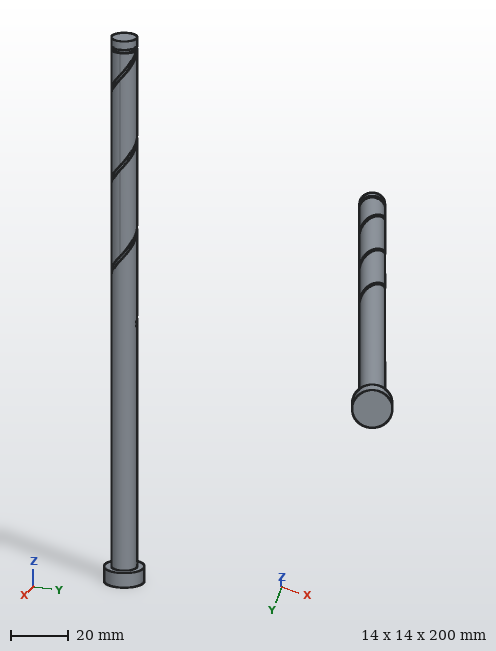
import cadquery as cq

total_length = 200.0
head_diameter = 14.0
head_height = 5.5
shaft_diameter = 9.0
shaft_radius = shaft_diameter / 2

ring_groove_diameter = 7.5
ring_groove_width = 1.2
end_collar_length = 3.2
ring_groove_bottom = total_length - end_collar_length - ring_groove_width

spiral_turns = 3
spiral_length = 100.0
spiral_bottom = 95.0
spiral_groove_radius = 0.8


def pin_blank():
    """Round shaft standing on a wider head."""
    head = cq.Workplane("XY").circle(head_diameter / 2).extrude(head_height)
    shaft = cq.Workplane("XY").circle(shaft_radius).extrude(total_length)
    return head.union(shaft)


def ring_groove_cutter():
    """Ring that cuts the square retaining groove."""
    return (
        cq.Workplane("XY", origin=(0, 0, ring_groove_bottom))
        .circle(head_diameter / 2)
        .circle(ring_groove_diameter / 2)
        .extrude(ring_groove_width)
    )


def spiral_groove_cutter():
    """Round bar wound along the shaft surface, half sunk into it."""
    pitch = spiral_length / spiral_turns
    path = cq.Workplane(cq.Wire.makeHelix(pitch, spiral_length, shaft_radius))
    bar = (
        cq.Workplane("XZ", origin=(shaft_radius, 0, 0))
        .circle(spiral_groove_radius)
        .sweep(path, isFrenet=True)
    )
    return bar.rotate((0, 0, 0), (0, 0, 1), 90).translate((0, 0, spiral_bottom))


result = pin_blank().cut(spiral_groove_cutter()).cut(ring_groove_cutter())